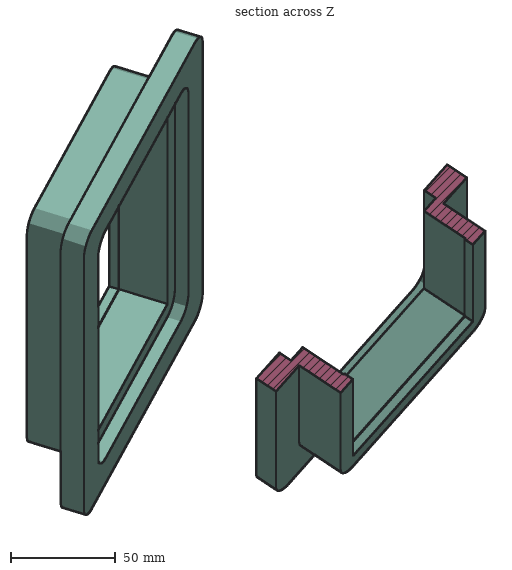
import cadquery as cq

flange_thickness = 12.0
flange_width = 150.0
flange_height = 200.0
flange_corner_radius = 10.0

collar_length = 25.0
collar_width = 113.5
collar_height = 163.5
collar_corner_radius = 9.5

wall = 9.8
opening_width = collar_width - 2 * wall
opening_height = collar_height - 2 * wall

lip_thickness = 5.0
relief_step = 0.5
relief_width = opening_width + 2 * relief_step
relief_height = opening_height + 2 * relief_step

recess_depth = 7.0

total_depth = collar_length + flange_thickness


def block(start_x, length, width, height):
    """Box centred on the X axis, running from start_x towards +X."""
    return cq.Workplane("YZ", origin=(start_x, 0, 0)).rect(width, height).extrude(length)


def rounded_block(start_x, length, width, height, corner_radius):
    """Block with its four edges along X rounded."""
    return block(start_x, length, width, height).edges("|X").fillet(corner_radius)


collar = rounded_block(0, collar_length, collar_width, collar_height, collar_corner_radius)
flange = rounded_block(
    collar_length, flange_thickness, flange_width, flange_height, flange_corner_radius
)

opening = block(0, total_depth, opening_width, opening_height)
relief = block(lip_thickness, total_depth - lip_thickness, relief_width, relief_height)
recess = rounded_block(
    total_depth - recess_depth, recess_depth, collar_width, collar_height, collar_corner_radius
)

result = collar.union(flange).cut(opening).cut(relief).cut(recess)